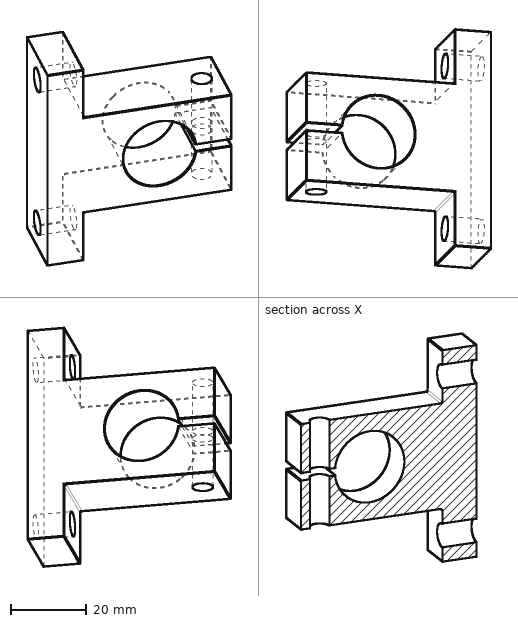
import cadquery as cq

WIDTH = 20.0
BASE_THICKNESS = 10.0
BASE_HEIGHT = 60.0
ARM_HEIGHT = 30.0
TOTAL_DEPTH = 51.0

BORE_DIAMETER = 20.0
BORE_CENTER_Y = 31.0
SLOT_WIDTH = 2.0

MOUNTING_HOLE_DIAMETER = 6.6
MOUNTING_HOLE_SPACING = 45.0
CLAMP_HOLE_DIAMETER = 5.5
CLAMP_HOLE_Y = 45.5

CORNER_FILLET = 0.5
EDGE_CHAMFER = 0.2


def make_box(height, y_start, y_end):
    """Box across the full width, centred on X = 0 and Z = 0."""
    depth = y_end - y_start
    return cq.Workplane("XY").box(WIDTH, depth, height).translate((0, y_start + depth / 2, 0))


def make_body():
    """Sharp-edged T-shaped block."""
    base = make_box(BASE_HEIGHT, 0, BASE_THICKNESS)
    arm = make_box(ARM_HEIGHT, 0, TOTAL_DEPTH)
    return base.union(arm)


def cut_shaft_clamp(body):
    """Shaft bore along X, opened to the end of the arm by a slot."""
    bore = (
        cq.Workplane("YZ")
        .center(BORE_CENTER_Y, 0)
        .circle(BORE_DIAMETER / 2)
        .extrude(WIDTH / 2, both=True)
    )
    slot = make_box(SLOT_WIDTH, BORE_CENTER_Y, TOTAL_DEPTH)
    return body.cut(bore).cut(slot)


def break_edges(body):
    """Chamfer the outlines of both side faces, the arm end and the plate ends, not the mounting face."""
    end_edges = body.faces(">Y or >Z or <Z").edges("|X")
    side_edges = body.faces("<X or >X").edges()
    off_mounting_face = cq.selectors.BoxSelector(
        (-WIDTH, EDGE_CHAMFER, -BASE_HEIGHT),
        (WIDTH, TOTAL_DEPTH + EDGE_CHAMFER, BASE_HEIGHT),
    )
    return side_edges.add(end_edges).edges(off_mounting_face).chamfer(EDGE_CHAMFER)


def fillet_inner_corners(body):
    """Small fillets where the arm meets the base plate."""
    at_inner_corners = cq.selectors.BoxSelector(
        (-WIDTH, BASE_THICKNESS - CORNER_FILLET, -ARM_HEIGHT / 2 - CORNER_FILLET),
        (WIDTH, BASE_THICKNESS + CORNER_FILLET, ARM_HEIGHT / 2 + CORNER_FILLET),
    )
    return body.edges("|X").edges(at_inner_corners).fillet(CORNER_FILLET)


def cut_mounting_holes(body):
    """Two screw holes through the base plate along Y."""
    hole_points = [(0, side * MOUNTING_HOLE_SPACING / 2) for side in (-1, 1)]
    holes = (
        cq.Workplane("XZ")
        .pushPoints(hole_points)
        .circle(MOUNTING_HOLE_DIAMETER / 2)
        .extrude(-BASE_THICKNESS)
    )
    return body.cut(holes)


def cut_clamp_hole(body):
    """Clamp screw hole along Z through both jaws."""
    hole = (
        cq.Workplane("XY")
        .center(0, CLAMP_HOLE_Y)
        .circle(CLAMP_HOLE_DIAMETER / 2)
        .extrude(ARM_HEIGHT / 2, both=True)
    )
    return body.cut(hole)


def make_part():
    body = cut_shaft_clamp(make_body())
    body = fillet_inner_corners(break_edges(body))
    return cut_clamp_hole(cut_mounting_holes(body))


result = make_part()